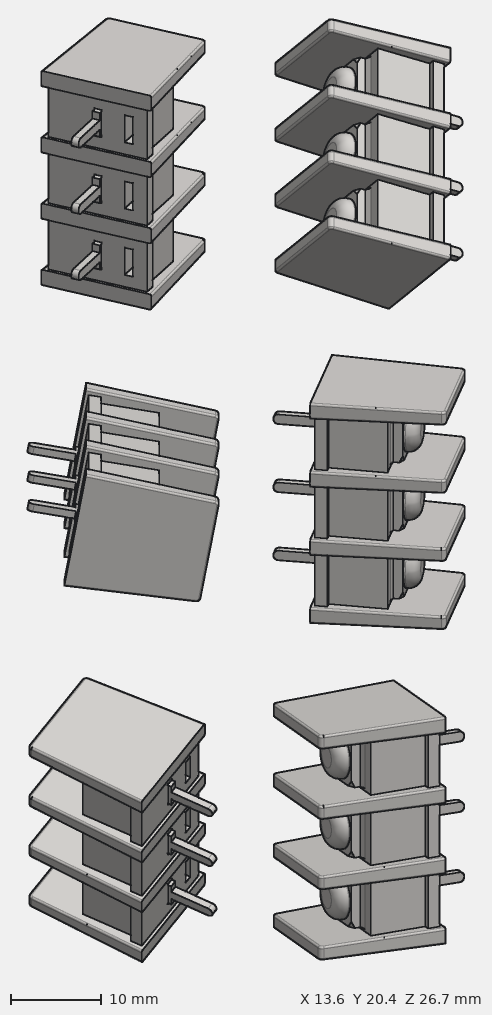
import cadquery as cq


total_height = 26.65
pole_count = 3
plate_rear_thickness = 1.92
pole_pitch = (total_height - plate_rear_thickness) / pole_count

plate_rear_width = 13.6
plate_front_width = 12.2
plate_front_thickness = 1.6
plate_length = 15.08
plate_corner_radius = 0.5
plate_edge_radius = 0.25

base_width = 12.15
base_rear_y = 0.4
base_front_y = 1.8
body_side_step = 0.75
body_width = base_width - 2 * body_side_step
body_front_y = 8.45
body_height = total_height - plate_rear_thickness

opening_height = 3.38
opening_depth = 2.0
spare_slot_width = 1.0
spare_slot_x = 3.8

pin_width = 0.9
pin_thickness = 1.17
pin_tip_y = -5.3
pin_foot_height = 3.0

terminal_height = 5.97
terminal_thickness = 0.2
terminal_end_slope = 0.75

nut_side = terminal_height
nut_rear_y = body_front_y + terminal_thickness
nut_front_y = 9.73
nut_corner_cut = 0.8
nut_corner_drop = 0.43

head_radius = 2.72
head_rim_height = 0.19
head_dome_height = 1.47


def box_between(width, height, y_start, y_end, x=0.0):
    """Box centred on Z = 0 that spans y_start to y_end."""
    length = y_end - y_start
    return cq.Workplane("XY").box(width, length, height).translate((x, y_start + length / 2, 0))


def barrier_plate():
    plate = (
        cq.Workplane("XZ")
        .rect(plate_rear_width, plate_rear_thickness)
        .workplane(offset=-plate_length)
        .rect(plate_front_width, plate_front_thickness)
        .loft(ruled=True)
    )
    plate = plate.faces(">Y").edges("|Z").fillet(plate_corner_radius)
    return plate.faces(">Z or <Z").edges("not <Y").fillet(plate_edge_radius)


def body():
    base = box_between(base_width, body_height, base_rear_y, base_front_y)
    return base.union(box_between(body_width, body_height, base_front_y, body_front_y))


def rear_openings():
    opening_end_y = base_rear_y + opening_depth
    pin_opening = box_between(pin_width, opening_height, base_rear_y, opening_end_y)
    spare_slot = box_between(spare_slot_width, opening_height, base_rear_y, opening_end_y, spare_slot_x)
    return pin_opening.union(spare_slot)


def solder_pin():
    foot = box_between(pin_width, pin_foot_height, 0, base_rear_y + opening_depth)
    leg = box_between(pin_width, pin_thickness, pin_tip_y, base_rear_y)
    tip_radius = pin_thickness / 2
    tip_blank = box_between(pin_width, pin_thickness, pin_tip_y, pin_tip_y + tip_radius)
    tip_round = (
        cq.Workplane("YZ")
        .center(pin_tip_y + tip_radius, 0)
        .circle(tip_radius)
        .extrude(pin_width / 2, both=True)
    )
    return leg.cut(tip_blank).union(tip_round).union(foot)


def terminal_plate():
    front_half = nut_side / 2
    rear_half = front_half + terminal_end_slope
    return (
        cq.Workplane("XY")
        .moveTo(-rear_half, body_front_y)
        .lineTo(rear_half, body_front_y)
        .lineTo(front_half, nut_rear_y)
        .lineTo(-front_half, nut_rear_y)
        .close()
        .extrude(terminal_height / 2, both=True)
    )


def nut_corner_wedge(x_side, z_side):
    """Tetrahedron that removes one front corner of the nut."""
    corner = cq.Vector(x_side * nut_side / 2, nut_front_y, z_side * nut_side / 2)
    along_x = corner + cq.Vector(-x_side * nut_corner_cut, 0, 0)
    along_y = corner + cq.Vector(0, -nut_corner_drop, 0)
    along_z = corner + cq.Vector(0, 0, -z_side * nut_corner_cut)
    triangles = [
        (corner, along_x, along_y),
        (corner, along_y, along_z),
        (corner, along_z, along_x),
        (along_x, along_y, along_z),
    ]
    faces = [cq.Face.makeFromWires(cq.Wire.makePolygon(points, close=True)) for points in triangles]
    return cq.Solid.makeSolid(cq.Shell.makeShell(faces))


def clamp_nut():
    nut = box_between(nut_side, nut_side, nut_rear_y, nut_front_y)
    for x_side in (-1, 1):
        for z_side in (-1, 1):
            nut = nut.cut(cq.Workplane(obj=nut_corner_wedge(x_side, z_side)))
    return nut


def screw_head():
    return (
        cq.Workplane("XZ", origin=(0, nut_front_y, 0))
        .circle(head_radius)
        .extrude(-(head_rim_height + head_dome_height))
        .faces(">Y")
        .edges()
        .fillet(head_dome_height)
    )


def pole_metal():
    return terminal_plate().union(clamp_nut()).union(screw_head()).union(solder_pin())


result = body()

for index in range(pole_count + 1):
    plate_z = (index - pole_count / 2) * pole_pitch
    result = result.union(barrier_plate().translate((0, 0, plate_z)))

for index in range(pole_count):
    pole_z = (index - (pole_count - 1) / 2) * pole_pitch
    result = result.cut(rear_openings().translate((0, 0, pole_z)))
    result = result.union(pole_metal().translate((0, 0, pole_z)))